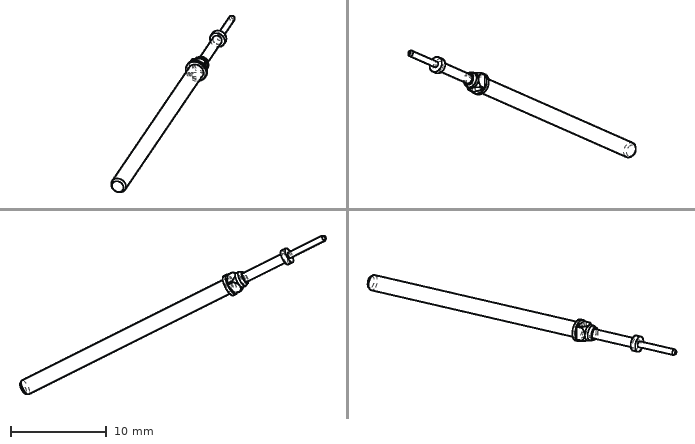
import cadquery as cq

total_length = 37.5

barrel_diameter = 1.65
flange_diameter = 2.3
collar_diameter = 1.65
neck_diameter = 1.0
tip_diameter = 0.65

square_width = barrel_diameter
square_corner_diameter = 2.18

tip_length = 4.45
collar_length = 0.55
neck_length = 4.95
flange_length = 0.35
shoulder_length = 0.68
square_length = 1.0

tip_chamfer_length = 0.22
tip_chamfer_depth = 0.15
shoulder_chamfer_length = 0.35
shoulder_chamfer_depth = 0.15
square_cone_length = 0.35
barrel_end_chamfer_length = 0.25
barrel_end_chamfer_depth = 0.2

tip_end_y = total_length / 2
collar_front_y = tip_end_y - tip_length
neck_front_y = collar_front_y - collar_length
shoulder_front_y = neck_front_y - neck_length
square_front_y = shoulder_front_y - shoulder_length
flange_front_y = square_front_y - square_length
barrel_front_y = flange_front_y - flange_length
barrel_length = barrel_front_y + tip_end_y


def rod(diameter, front_y, length):
    """Cylinder on the Y axis running from front_y towards -Y."""
    return cq.Workplane("XZ", origin=(0, front_y, 0)).circle(diameter / 2).extrude(length)


def chamfered_rod(diameter, front_y, length, chamfer_length, chamfer_depth):
    """Cylinder on the Y axis with a conical edge at its +Y end."""
    radius = diameter / 2
    return (
        cq.Workplane("XY")
        .moveTo(0, front_y)
        .lineTo(radius - chamfer_depth, front_y)
        .lineTo(radius, front_y - chamfer_length)
        .lineTo(radius, front_y - length)
        .lineTo(0, front_y - length)
        .close()
        .revolve(360, (0, 0, 0), (0, 1, 0))
    )


def square_section():
    """Four flats cut on a turned body whose front is a cone."""
    cone_depth = (square_corner_diameter - square_width) / 2
    turned = chamfered_rod(
        square_corner_diameter, square_front_y, square_length, square_cone_length, cone_depth
    )
    block = (
        cq.Workplane("XZ", origin=(0, square_front_y, 0))
        .rect(square_width, square_width)
        .extrude(square_length)
    )
    return turned.intersect(block)


tip = chamfered_rod(tip_diameter, tip_end_y, tip_length, tip_chamfer_length, tip_chamfer_depth)
collar = rod(collar_diameter, collar_front_y, collar_length)
neck = rod(neck_diameter, neck_front_y, neck_length)
shoulder = chamfered_rod(
    barrel_diameter, shoulder_front_y, shoulder_length, shoulder_chamfer_length, shoulder_chamfer_depth
)
flange = rod(flange_diameter, flange_front_y, flange_length)
barrel = chamfered_rod(
    barrel_diameter, tip_end_y, barrel_length, barrel_end_chamfer_length, barrel_end_chamfer_depth
).mirror("XZ")

result = barrel
for section in (flange, square_section(), shoulder, neck, collar, tip):
    result = result.union(section)